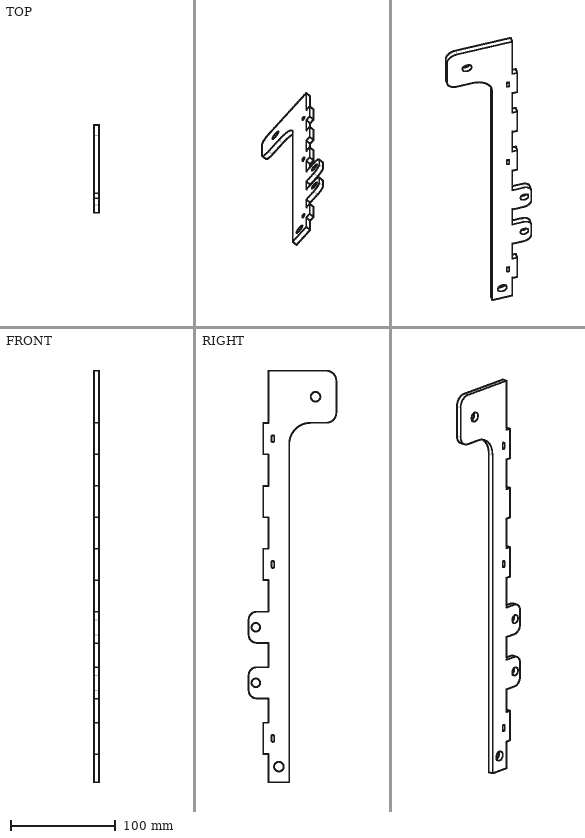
import cadquery as cq

thickness = 5.0
height = 393.0
strip_width = 20.0

head_width = 65.0
head_height = 50.0
head_corner_radius = 10.0
head_neck_radius = 20.0

tab_length = 30.0
tab_depth = 5.0
lug_depth = 19.0
lug_corner_radius = 8.0

upper_gap = 30.0
lower_gap = 23.0
upper_pitch = tab_length + upper_gap
lower_pitch = tab_length + lower_gap

first_tab_z = height - head_height - tab_length / 2
second_tab_z = first_tab_z - upper_pitch
third_tab_z = second_tab_z - upper_pitch
upper_lug_z = third_tab_z - upper_pitch
lower_lug_z = upper_lug_z - lower_pitch
last_tab_z = lower_lug_z - lower_pitch

tab_centers = [first_tab_z, second_tab_z, third_tab_z, last_tab_z]
lug_centers = [upper_lug_z, lower_lug_z]

mounting_hole_diameter = 9.0
head_hole_inset = 20.0
foot_hole_height = 15.0
lug_hole_diameter = 8.0
lug_hole_inset = 7.0

slot_length = 6.5
slot_width = 2.5
slot_inset = 4.25
slot_centers = [first_tab_z, third_tab_z, last_tab_z]


def make_body():
    """Strip and head as one flat plate, with the rounded corners of the head."""
    head_bottom = height - head_height
    body = (
        cq.Workplane("YZ")
        .polyline(
            [
                (0, 0),
                (strip_width, 0),
                (strip_width, head_bottom),
                (head_width, head_bottom),
                (head_width, height),
                (0, height),
            ]
        )
        .close()
        .extrude(thickness)
    )
    body = body.edges("|X and >Y").fillet(head_corner_radius)
    neck = cq.selectors.NearestToPointSelector((thickness / 2, strip_width, head_bottom))
    return body.edges("|X").edges(neck).fillet(head_neck_radius)


def make_projection(center_z, depth):
    """Rectangular block that projects from the mounting edge to -Y."""
    return (
        cq.Workplane("YZ")
        .center(-depth / 2, center_z)
        .rect(depth, tab_length)
        .extrude(thickness)
    )


def make_lug(center_z):
    """Longer projection with rounded outer corners."""
    return make_projection(center_z, lug_depth).edges("|X and <Y").fillet(lug_corner_radius)


def make_hole(y, z, diameter):
    """Cutter for a round hole through the plate."""
    return cq.Workplane("YZ").center(y, z).circle(diameter / 2).extrude(thickness)


def make_slot(center_z):
    """Cutter for a round-ended slot through the plate, long along Z."""
    return (
        cq.Workplane("YZ")
        .center(slot_inset, center_z)
        .slot2D(slot_length, slot_width, 90)
        .extrude(thickness)
    )


result = make_body()

for tab_z in tab_centers:
    result = result.union(make_projection(tab_z, tab_depth))

for lug_z in lug_centers:
    result = result.union(make_lug(lug_z))
    result = result.cut(make_hole(lug_hole_inset - lug_depth, lug_z, lug_hole_diameter))

for slot_z in slot_centers:
    result = result.cut(make_slot(slot_z))

head_hole_y = head_width - head_hole_inset
head_hole_z = height - head_height / 2
result = result.cut(make_hole(head_hole_y, head_hole_z, mounting_hole_diameter))
result = result.cut(make_hole(strip_width / 2, foot_hole_height, mounting_hole_diameter))